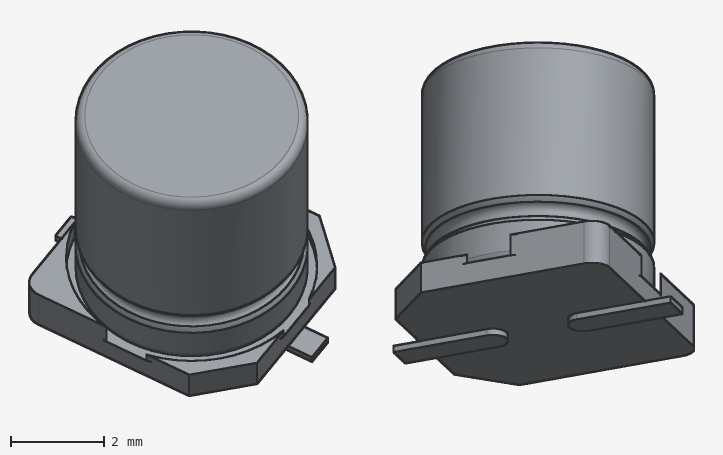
import cadquery as cq

overall_length = 6.5
overall_height = 5.8
base_side = 5.3
half_base = base_side / 2

lead_thickness = 0.15
lead_width = 0.65
lead_inner_end = 0.735

base_bottom = lead_thickness
base_high_top = 1.14
base_low_top = 0.85
corner_radius = 0.415
corner_chamfer = 1.06

pocket_radius = 2.7
pocket_floor = 0.65

can_radius = 5.0 / 2
can_edge_radius = 0.2

groove_center_z = 1.84
groove_half_height = 0.29
groove_throat_half_height = 0.17
groove_depth = 0.2
groove_shoulder_depth = 0.08
shoulder_bulge = 0.01


def make_base():
    """Base plate with rounded -X corners, chamfered +X corners, step and can pocket."""
    plate = (
        cq.Workplane("XY")
        .workplane(offset=base_bottom)
        .rect(base_side, base_side)
        .extrude(base_high_top - base_bottom)
    )
    plate = plate.edges("|Z and <X").fillet(corner_radius)
    plate = plate.edges("|Z and >X").chamfer(corner_chamfer)
    step = (
        cq.Workplane("XY")
        .workplane(offset=base_low_top)
        .center(half_base / 2, 0)
        .rect(half_base, base_side)
        .extrude(base_high_top - base_low_top)
    )
    pocket = (
        cq.Workplane("XY")
        .workplane(offset=pocket_floor)
        .circle(pocket_radius)
        .extrude(base_high_top - pocket_floor)
    )
    return plate.cut(step).cut(pocket)


def make_can():
    """Can revolved about Z, with rounded end edges and a rolled groove."""
    shoulder_radius = can_radius - groove_shoulder_depth
    shoulder_mid_radius = can_radius - groove_shoulder_depth / 2 + shoulder_bulge
    shoulder_mid_offset = (groove_half_height + groove_throat_half_height) / 2 + shoulder_bulge
    throat_radius = can_radius - groove_depth
    flat_radius = can_radius - can_edge_radius
    profile = (
        cq.Workplane("XZ")
        .moveTo(0, pocket_floor)
        .lineTo(flat_radius, pocket_floor)
        .radiusArc((can_radius, pocket_floor + can_edge_radius), -can_edge_radius)
        .lineTo(can_radius, groove_center_z - groove_half_height)
        .threePointArc(
            (shoulder_mid_radius, groove_center_z - shoulder_mid_offset),
            (shoulder_radius, groove_center_z - groove_throat_half_height),
        )
        .threePointArc(
            (throat_radius, groove_center_z),
            (shoulder_radius, groove_center_z + groove_throat_half_height),
        )
        .threePointArc(
            (shoulder_mid_radius, groove_center_z + shoulder_mid_offset),
            (can_radius, groove_center_z + groove_half_height),
        )
        .lineTo(can_radius, overall_height - can_edge_radius)
        .radiusArc((flat_radius, overall_height), -can_edge_radius)
        .lineTo(0, overall_height)
        .close()
    )
    return profile.revolve(360, (0, 0, 0), (0, 1, 0))


def make_lead():
    """Flat lead on the +X side with a fully rounded inner end."""
    half_width = lead_width / 2
    round_center = lead_inner_end + half_width
    return (
        cq.Workplane("XY")
        .moveTo(overall_length / 2, -half_width)
        .lineTo(overall_length / 2, half_width)
        .lineTo(round_center, half_width)
        .threePointArc((lead_inner_end, 0), (round_center, -half_width))
        .close()
        .extrude(lead_thickness)
    )


lead = make_lead()
result = make_base().union(make_can()).union(lead).union(lead.mirror("YZ"))